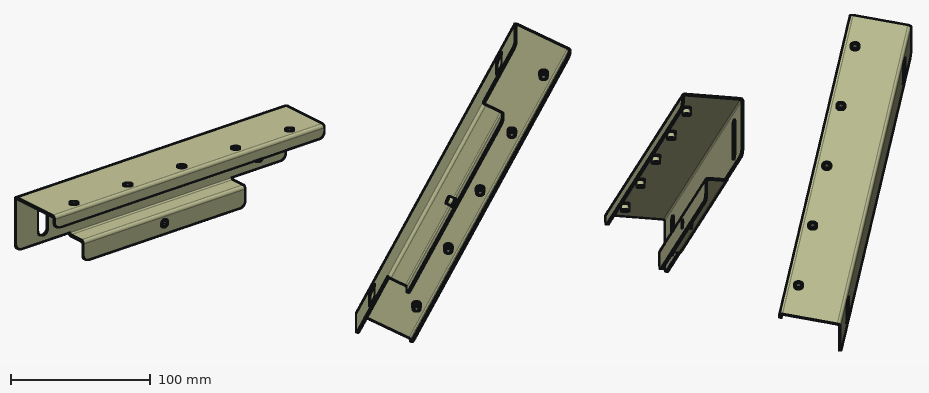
import cadquery as cq

length = 250.0
width = 45.0
sheet = 1.38
inner_bend = 1.12
outer_bend = inner_bend + sheet
corner = 5.0

overall_height = 60.5
top_nut_proud = 0.4
top_height = overall_height - top_nut_proud
lip_bottom = 50.0
shelf_bottom = 15.0
web_bottom = shelf_bottom + outer_bend

tab_length = 150.0
tab_face = 15.2

slot_length = 30.0
slot_width = 9.0
slot_height = 37.5
slot_offset = 100.0

collar_diameter = 6.5
collar_depth = 2.8
barrel_diameter = 6.0
bore_radius = 2.08
nut_length = 6.8

top_nut_x = 36.0
top_nut_count = 5
top_nut_pitch = 50.0
tab_nut_height = 8.5

first_nut_y = -top_nut_pitch * (top_nut_count - 1) / 2
top_nut_planes = [
    cq.Plane(
        origin=(top_nut_x, first_nut_y + i * top_nut_pitch, overall_height),
        xDir=(1, 0, 0),
        normal=(0, 0, 1),
    )
    for i in range(top_nut_count)
]
tab_nut_plane = cq.Plane(
    origin=(tab_face + sheet, 0, tab_nut_height), xDir=(0, 1, 0), normal=(1, 0, 0)
)


def extrude_profile(points, depth):
    """Extrude a closed XZ outline symmetrically along Y."""
    return cq.Workplane("XZ").polyline(points).close().extrude(depth / 2, both=True)


def round_bend(body, inside, outside):
    """Round the two Y-parallel edges of a bend, each given as an (x, z) corner."""
    for (x, z), radius in ((inside, inner_bend), (outside, outer_bend)):
        edge = cq.selectors.NearestToPointSelector((x, 0, z))
        body = body.edges("|Y").edges(edge).fillet(radius)
    return body


def make_folded_sheet():
    """Full-length lip, top plate and web, with the shelf and tab still full length."""
    points = [
        (0, top_height),
        (width, top_height),
        (width, lip_bottom),
        (width - sheet, lip_bottom),
        (width - sheet, top_height - sheet),
        (sheet, top_height - sheet),
        (sheet, shelf_bottom + sheet),
        (tab_face + sheet, shelf_bottom + sheet),
        (tab_face + sheet, 0),
        (tab_face, 0),
        (tab_face, shelf_bottom),
        (0, shelf_bottom),
    ]
    body = extrude_profile(points, length)
    body = round_bend(body, (sheet, top_height - sheet), (0, top_height))
    body = round_bend(body, (width - sheet, top_height - sheet), (width, top_height))
    body = round_bend(body, (sheet, shelf_bottom + sheet), (0, shelf_bottom))
    return round_bend(body, (tab_face, shelf_bottom), (tab_face + sheet, shelf_bottom + sheet))


def trim_tab(body):
    """Cut the shelf and tab back to the tab length, and round the corners of web and tab."""
    end_length = (length - tab_length) / 2
    for side in (-1, 1):
        end = cq.Workplane("XY").box(width, end_length, web_bottom, centered=(False, True, False))
        body = body.cut(end.translate((0, side * (tab_length + end_length) / 2, 0)))
    for y in (-1, 1):
        web_edge = cq.selectors.NearestToPointSelector((sheet / 2, y * length / 2, web_bottom))
        tab_edge = cq.selectors.NearestToPointSelector((tab_face + sheet / 2, y * tab_length / 2, 0))
        body = body.edges("|X").edges(web_edge).fillet(corner)
        body = body.edges("|X").edges(tab_edge).fillet(corner)
    return body


def round_lip(body):
    """Round the two free corners of the lip."""
    for y in (-1, 1):
        lip_edge = cq.selectors.NearestToPointSelector((width - sheet / 2, y * length / 2, lip_bottom))
        body = body.edges("|X").edges(lip_edge).fillet(corner)
    return body


def cut_slots(body):
    """Cut the vertical obround slots through the web."""
    slots = (
        cq.Workplane("YZ")
        .pushPoints([(-slot_offset, slot_height), (slot_offset, slot_height)])
        .slot2D(slot_length, slot_width, 90)
        .extrude(sheet)
    )
    return body.cut(slots)


def cut_nut_holes(body):
    """Cut a hole through the sheet for the collar of every nut."""
    for plane in [*top_nut_planes, tab_nut_plane]:
        body = body.cut(cq.Workplane(plane).circle(collar_diameter / 2).extrude(-collar_depth))
    return body


def make_bracket():
    return cut_nut_holes(cut_slots(round_lip(trim_tab(make_folded_sheet()))))


def make_rivet_nut(plane):
    """Collar and barrel with a through bore, extending behind the given plane."""
    collar = cq.Workplane(plane).circle(collar_diameter / 2).extrude(-collar_depth)
    barrel = cq.Workplane(plane).circle(barrel_diameter / 2).extrude(-nut_length)
    bore = cq.Workplane(plane).circle(bore_radius).extrude(-nut_length)
    return collar.union(barrel).cut(bore)


bracket = make_bracket()
top_nuts = [make_rivet_nut(plane) for plane in top_nut_planes]
tab_nut = make_rivet_nut(tab_nut_plane)

result = cq.Compound.makeCompound(
    [bracket.val(), *[nut.val() for nut in top_nuts], tab_nut.val()]
)